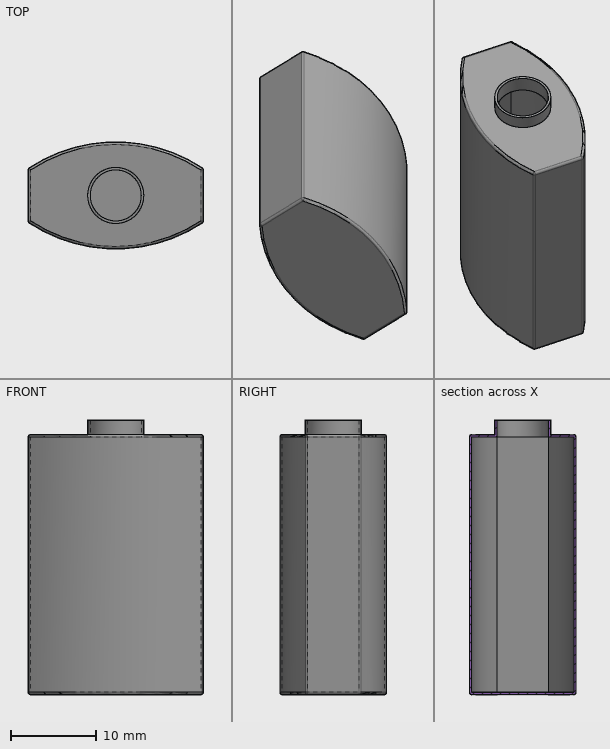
import cadquery as cq

cavity_length = 20.0
side_width = 6.0
arc_rise = 3.0
cavity_height = 30.0

neck_bore_diameter = 6.0
neck_bore_length = 2.0

wall = 0.3


def body_core():
    """Prism with two flat ends and two bulging faces, the shape of the cavity."""
    half_length = cavity_length / 2
    half_side = side_width / 2
    bulge = half_side + arc_rise
    return (
        cq.Workplane("XY")
        .moveTo(-half_length, -half_side)
        .lineTo(-half_length, half_side)
        .threePointArc((0, bulge), (half_length, half_side))
        .lineTo(half_length, -half_side)
        .threePointArc((0, -bulge), (-half_length, -half_side))
        .close()
        .extrude(cavity_height)
    )


def add_neck_core(core):
    """Cylinder on the top face, the shape of the neck bore."""
    return (
        core.faces(">Z")
        .workplane(origin=(0, 0, cavity_height))
        .circle(neck_bore_diameter / 2)
        .extrude(neck_bore_length)
    )


def wrap_in_wall(core):
    """Outward shell with rounded outer edges, open at the top of the neck."""
    return core.faces(">Z").shell(wall, kind="arc")


result = wrap_in_wall(add_neck_core(body_core()))